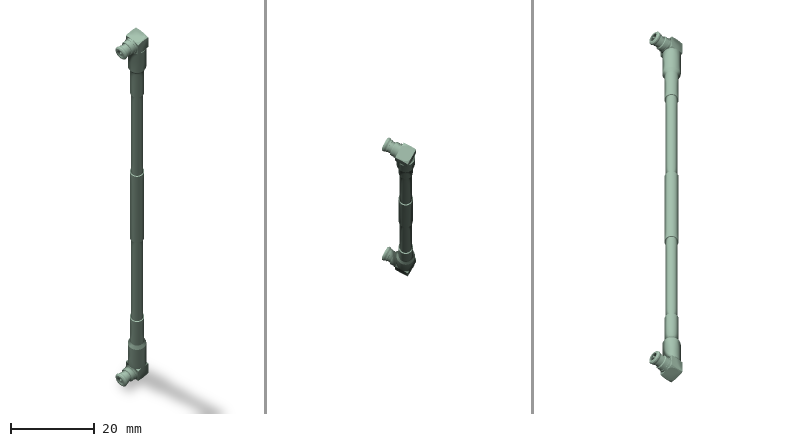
import cadquery as cq

TOTAL_LENGTH = 131.6

SPLICE_LENGTH = 25.8
SPLICE_DIAMETER = 3.4
CABLE_DIAMETER = 2.9

BOOT_NECK_DIAMETER = 3.4
BOOT_STEP = 0.5
BOOT_WIDE_LENGTH = 7.5
BOOT_CONE_LENGTH = 1.0
BOOT_LENGTH = 17.8

ELBOW_WIDTH = 4.2
ELBOW_DEPTH = 3.4
ELBOW_HEIGHT = 4.2
CORNER_CONE_DIAMETER = 3.8
CORNER_CONE_SLOPE = 0.35

PLUG_DROP = 2.0
COLLAR_DIAMETER = 3.8
COLLAR_LENGTH = 0.5
BARREL_DIAMETER = 3.5
BARREL_LENGTH = 1.2
BARREL_CHAMFER = 0.1
PLUG_NECK_DIAMETER = 2.9
PLUG_NECK_LENGTH = 0.9
SHOULDER_DIAMETER = 3.2
SHOULDER_LENGTH = 0.4
LIP_CONE_LENGTH = 0.4
LIP_DIAMETER = 3.5
LIP_LENGTH = 0.59
LIP_CHAMFER = 0.3
SOCKET_DIAMETER = 2.1
SOCKET_DEPTH = 1.6
PIN_DIAMETER = 0.5

HALF_LENGTH = TOTAL_LENGTH / 2
SPLICE_TOP = SPLICE_LENGTH / 2
BOOT_TOP = HALF_LENGTH - ELBOW_HEIGHT
BOOT_BOTTOM = BOOT_TOP - BOOT_LENGTH


def make_splice():
    """Cylinder in the middle that joins the two cable halves."""
    return cq.Workplane("XY").workplane(offset=-SPLICE_TOP).circle(SPLICE_DIAMETER / 2).extrude(SPLICE_LENGTH)


def make_cable():
    """Upper cable half, from the splice to the boot."""
    cable_length = BOOT_BOTTOM - SPLICE_TOP
    return cq.Workplane("XY").workplane(offset=SPLICE_TOP).circle(CABLE_DIAMETER / 2).extrude(cable_length)


def make_boot():
    """Upper boot, from the cable to the elbow."""
    neck_radius = BOOT_NECK_DIAMETER / 2
    wide_radius = neck_radius + BOOT_STEP
    cone_top = BOOT_TOP - BOOT_WIDE_LENGTH
    cone_bottom = cone_top - BOOT_CONE_LENGTH
    return (
        cq.Workplane("XZ")
        .moveTo(0, BOOT_BOTTOM)
        .lineTo(neck_radius, BOOT_BOTTOM)
        .lineTo(neck_radius, cone_bottom)
        .lineTo(wide_radius, cone_top)
        .lineTo(wide_radius, BOOT_TOP)
        .lineTo(0, BOOT_TOP)
        .close()
        .revolve(360, (0, 0), (0, 1))
    )


def make_elbow_block():
    """Block whose corners are cut by a cone at the top and at the bottom, like those of a nut."""
    block = cq.Workplane("XY").box(ELBOW_WIDTH, ELBOW_DEPTH, ELBOW_HEIGHT)
    flat_radius = CORNER_CONE_DIAMETER / 2
    outer_radius = ELBOW_WIDTH
    half_height = ELBOW_HEIGHT / 2
    rim_height = half_height - (outer_radius - flat_radius) * CORNER_CONE_SLOPE
    double_cone = (
        cq.Workplane("XZ")
        .moveTo(0, -half_height)
        .lineTo(flat_radius, -half_height)
        .lineTo(outer_radius, -rim_height)
        .lineTo(outer_radius, rim_height)
        .lineTo(flat_radius, half_height)
        .lineTo(0, half_height)
        .close()
        .revolve(360, (0, 0), (0, 1))
    )
    return block.intersect(double_cone).translate((0, 0, HALF_LENGTH - half_height))


def make_plug():
    """Turned plug along -Y, with a socket in its end and a contact pin in the socket."""
    collar_end = ELBOW_DEPTH / 2 + COLLAR_LENGTH
    barrel_end = collar_end + BARREL_LENGTH
    neck_end = barrel_end + PLUG_NECK_LENGTH
    shoulder_end = neck_end + SHOULDER_LENGTH
    lip_start = shoulder_end + LIP_CONE_LENGTH
    plug_end = lip_start + LIP_LENGTH
    socket_floor = plug_end - SOCKET_DEPTH
    return (
        cq.Workplane("YZ")
        .lineTo(0, COLLAR_DIAMETER / 2)
        .lineTo(-collar_end, COLLAR_DIAMETER / 2)
        .lineTo(-collar_end, BARREL_DIAMETER / 2)
        .lineTo(-barrel_end + BARREL_CHAMFER, BARREL_DIAMETER / 2)
        .lineTo(-barrel_end, BARREL_DIAMETER / 2 - BARREL_CHAMFER)
        .lineTo(-barrel_end, PLUG_NECK_DIAMETER / 2)
        .lineTo(-neck_end, PLUG_NECK_DIAMETER / 2)
        .lineTo(-neck_end, SHOULDER_DIAMETER / 2)
        .lineTo(-shoulder_end, SHOULDER_DIAMETER / 2)
        .lineTo(-lip_start, LIP_DIAMETER / 2)
        .lineTo(-plug_end + LIP_CHAMFER, LIP_DIAMETER / 2)
        .lineTo(-plug_end, LIP_DIAMETER / 2 - LIP_CHAMFER)
        .lineTo(-plug_end, SOCKET_DIAMETER / 2)
        .lineTo(-socket_floor, SOCKET_DIAMETER / 2)
        .lineTo(-socket_floor, PIN_DIAMETER / 2)
        .lineTo(-plug_end, PIN_DIAMETER / 2)
        .lineTo(-plug_end, 0)
        .close()
        .revolve(360, (0, 0), (1, 0))
        .translate((0, 0, HALF_LENGTH - PLUG_DROP))
    )


def make_connector():
    """Upper right-angle connector: the elbow block and its plug in one piece."""
    return make_elbow_block().union(make_plug())


bodies = [make_splice().val()]
for make_body in (make_cable, make_boot, make_connector):
    upper = make_body()
    lower = upper.mirror("XY")
    bodies.append(upper.solids().val())
    bodies.append(lower.solids().val())

result = cq.Compound.makeCompound(bodies)